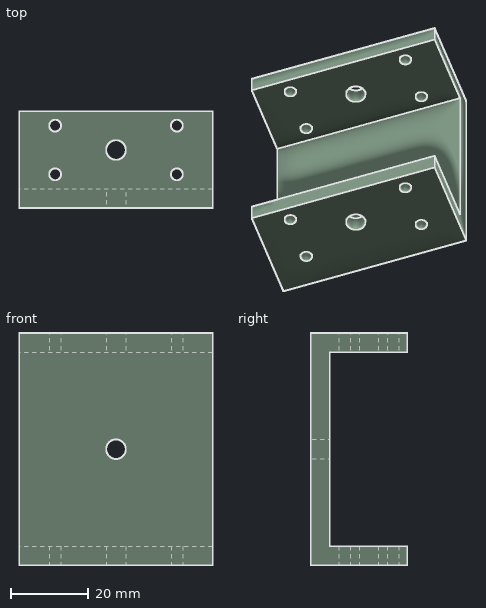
import cadquery as cq

width = 50.0
depth = 25.0
height = 60.0
wall = 5.0

center_hole_diameter = 5.0
screw_hole_diameter = 3.0
screw_pitch_x = 31.42
screw_pitch_y = 12.57

flange_reach = depth - wall
flange_center_y = (depth - flange_reach) / 2


def make_channel():
    """Block with a slot open toward +Y, running the full width."""
    block = cq.Workplane("XY").box(width, depth, height)
    slot = cq.Workplane("XY").box(width, flange_reach, height - 2 * wall)
    return block.cut(slot.translate((0, flange_center_y, 0)))


def cut_web_hole(body):
    """Hole through the middle of the web."""
    drill = cq.Workplane("XZ").circle(center_hole_diameter / 2).extrude(depth, both=True)
    return body.cut(drill)


def cut_flange_holes(body):
    """Central hole and four screw holes, aligned through both flanges."""
    plane = cq.Workplane("XY", origin=(0, flange_center_y, 0))
    center_drill = plane.circle(center_hole_diameter / 2).extrude(height, both=True)
    screw_drills = (
        plane.rect(screw_pitch_x, screw_pitch_y, forConstruction=True)
        .vertices()
        .circle(screw_hole_diameter / 2)
        .extrude(height, both=True)
    )
    return body.cut(center_drill).cut(screw_drills)


result = cut_flange_holes(cut_web_hole(make_channel()))